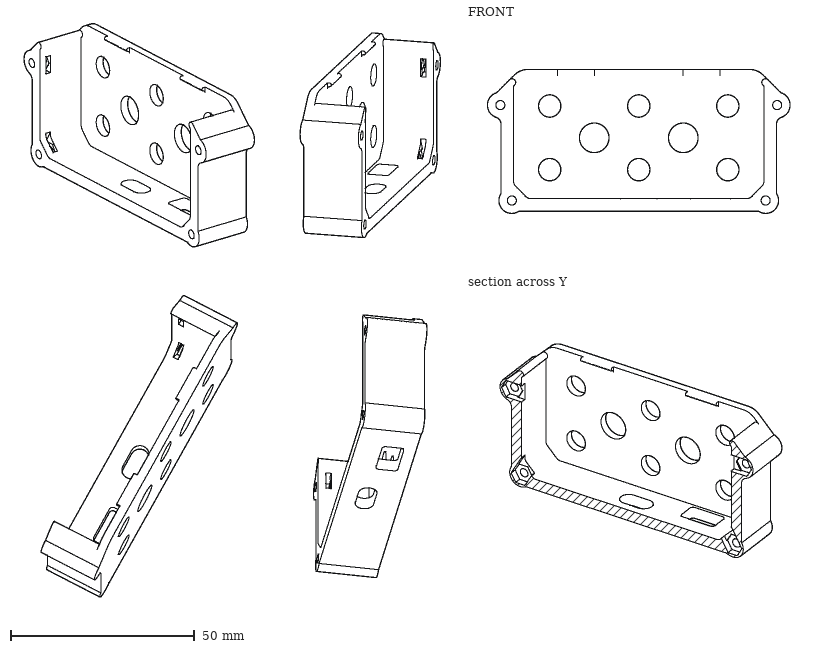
import cadquery as cq
import math

width = 82.5
depth = 16.5
height = 39.3

wall = 3.5
plate_thickness = 2.4

boss_radius = 3.55
screw_diameter = 2.5
screw_depth = 9.9
upper_boss_x = width / 2 - boss_radius
upper_boss_z = 29.5
lower_boss_x = 34.6
lower_boss_z = boss_radius
boss_root_radius = 2.0

side_x = 37.55
bottom_z = 0.6
shoulder_x = 32.35
shoulder_radius = 4.95

inner_x = side_x - wall
floor_z = bottom_z + wall
corner_chamfer = 4.0
corner_radius = 1.8

lip_radius = 1.0
lip_root_radius = 0.5
lip_x = 34.5

small_hole_diameter = 6.0
large_hole_diameter = 8.0
hole_pitch_x = 24.25
hole_pitch_z = 17.3
hole_centre_z = 20.6

slot_length = 10.0
slot_width = 5.0
slot_setback = 9.4
window_length = 10.9
window_width = 6.0
window_radius = 1.0
window_x = 19.55
window_setback = 6.35

hook_length = 10.0
hook_x = 17.1
hook_reach = 1.1
hook_height = 1.1
hook_nose_radius = hook_height / 2

nut_width = 5.0
nut_thickness = 1.5
nut_seat_depth = 0.4
nut_setback = 2.15
nut_slot_length = 6.6
upper_slot_angle = 0
lower_slot_angle = 60


def prism(points, y_front, y_back):
    """Polygon in X and Z, extruded from y_front back to y_back."""
    plane = cq.Workplane("XZ", origin=(0, y_back, 0))
    return plane.polyline(points).close().extrude(y_back - y_front)


def rod(x, z, radius, y_front, y_back):
    """Round bar along Y."""
    return cq.Workplane("XZ", origin=(x, y_back, z)).circle(radius).extrude(y_back - y_front)


def mirrored(right_half):
    """Points of the right half followed by their mirror images."""
    return right_half + [(-x, z) for x, z in reversed(right_half)]


def edges_at(body, x, z):
    """Edges along Y that pass through the given X and Z, on both sides of the part."""
    tolerance = 0.1
    low = (-depth, z - tolerance)
    high = (0, z + tolerance)
    right = cq.selectors.BoxSelector((x - tolerance, *low), (x + tolerance, *high))
    left = cq.selectors.BoxSelector((-x - tolerance, *low), (-x + tolerance, *high))
    return body.edges(right + left)


shoulder_sum = shoulder_x + height
shoulder_gap = (shoulder_sum - upper_boss_x - upper_boss_z) / math.sqrt(2)
half_chord = math.sqrt(boss_radius**2 - shoulder_gap**2)
shoulder_end_x = upper_boss_x + (shoulder_gap - half_chord) / math.sqrt(2)

body = prism(
    mirrored(
        [
            (lower_boss_x, bottom_z),
            (side_x, lower_boss_z),
            (side_x, upper_boss_z),
            (shoulder_end_x, shoulder_sum - shoulder_end_x),
            (shoulder_x, height),
        ]
    ),
    -depth,
    0,
)
boss_places = [
    (side * x, z)
    for side in (-1, 1)
    for x, z in ((upper_boss_x, upper_boss_z), (lower_boss_x, lower_boss_z))
]
for x, z in boss_places:
    body = body.union(rod(x, z, boss_radius, -depth, 0))
body = edges_at(body, side_x, upper_boss_z - boss_radius).fillet(boss_root_radius)
body = edges_at(body, shoulder_x, height).fillet(shoulder_radius)

lip_z = shoulder_sum - lip_x - lip_radius * math.sqrt(2)
clearance = 8.25
cavity = prism(
    mirrored(
        [
            (inner_x - corner_chamfer, floor_z),
            (inner_x, floor_z + corner_chamfer),
            (inner_x, lip_z),
            (lip_x, lip_z),
            (lip_x + clearance, lip_z + clearance),
        ]
    ),
    -depth,
    -plate_thickness,
)
cavity = edges_at(cavity, inner_x, floor_z + corner_chamfer).fillet(corner_radius)
cavity = edges_at(cavity, inner_x - corner_chamfer, floor_z).fillet(corner_radius)
body = body.cut(cavity)
for side in (-1, 1):
    body = body.union(rod(side * lip_x, lip_z, lip_radius, -depth, -plate_thickness))
lip_root_z = lip_z - math.sqrt(lip_radius**2 - (lip_x - inner_x) ** 2)
body = edges_at(body, inner_x, lip_root_z).fillet(lip_root_radius)

for column in (-1, 0, 1):
    for row in (-0.5, 0.5):
        z = hole_centre_z + row * hole_pitch_z
        body = body.cut(rod(column * hole_pitch_x, z, small_hole_diameter / 2, -plate_thickness, 0))
for column in (-0.5, 0.5):
    body = body.cut(
        rod(column * hole_pitch_x, hole_centre_z, large_hole_diameter / 2, -plate_thickness, 0)
    )

slot = cq.Workplane("XY").center(0, -slot_setback).slot2D(slot_length, slot_width).extrude(floor_z)
window = (
    cq.Workplane("XY")
    .center(window_x, -window_setback)
    .rect(window_length, window_width)
    .extrude(floor_z)
    .edges("|Z")
    .fillet(window_radius)
)
body = body.cut(slot).cut(window)

hook_front = -plate_thickness - hook_reach
nose_y = hook_front + hook_nose_radius
underside = height - hook_height
root_radius = hook_reach - hook_nose_radius
for side in (-1, 1):
    hook = (
        cq.Workplane("YZ", origin=(side * hook_x - hook_length / 2, 0, 0))
        .moveTo(-plate_thickness, height)
        .lineTo(nose_y, height)
        .threePointArc((hook_front, height - hook_nose_radius), (nose_y, underside))
        .radiusArc((-plate_thickness, underside - root_radius), root_radius)
        .close()
        .extrude(hook_length)
    )
    body = body.union(hook)

for x, z in boss_places:
    body = body.cut(rod(x, z, screw_diameter / 2, -depth, -depth + screw_depth))


def nut_slot(x, z, angle):
    """Slot that leads a hexagon nut from the cavity to a screw, with a shallow seat for it behind."""
    half_width = nut_width / 2
    nut_radius = half_width / math.cos(math.pi / 6)
    hexagon = [
        (nut_radius * math.cos(step * math.pi / 3), nut_radius * math.sin(step * math.pi / 3))
        for step in range(6)
    ]
    channel = prism(
        [(0, -half_width), (nut_slot_length, -half_width), (nut_slot_length, half_width), (0, half_width)],
        0,
        nut_thickness,
    )
    pocket = channel.union(prism(hexagon, 0, nut_thickness + nut_seat_depth))
    return pocket.rotate((0, 0, 0), (0, 1, 0), -angle).translate((x, -depth + nut_setback, z))


for x, z in boss_places:
    rise = upper_slot_angle if z == upper_boss_z else lower_slot_angle
    body = body.cut(nut_slot(x, z, rise if x < 0 else 180 - rise))

result = body